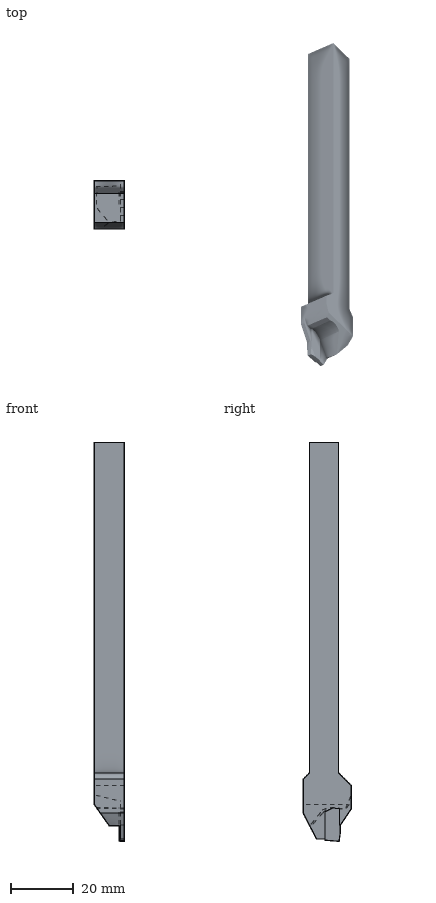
import cadquery as cq

LENGTH = 127.0
WIDTH = 9.7
SHANK_DEPTH = 9.3

LEFT_X = -WIDTH / 2
RIGHT_X = WIDTH / 2
SHANK_Y = SHANK_DEPTH / 2

SHOULDER_Z = 21.8
FRONT_SHOULDER = 2.0
BACK_SHOULDER = 4.1
FRONT_Y = -SHANK_Y - FRONT_SHOULDER
BACK_Y = SHANK_Y + BACK_SHOULDER
FRONT_FLANK_Z = 9.0
BACK_FLANK_Z = 10.4
NOSE_FRONT_Y = -2.4
NOSE_Z = 0.8

INSERT_THICKNESS = 1.7
INSERT_FRONT_Y = 0.3
INSERT_BACK_Y = 5.2
INSERT_SHOULDER_Z = 5.2
INSERT_SEAT_Y = 5.0
INSERT_TOP_Z = 10.4
INSERT_CROWN_Y = 2.8
INSERT_CROWN_Z = 10.7
INSERT_FRONT_TOP_Z = 9.4
INSERT_HEEL_Z = 0.4
TIP_Y = 4.8
CORNER_Z = 2.9

FACET_HEIGHT = 2.9
FACET_LENGTH = 2.3
FACET_DEPTH = 0.5

BEVEL_TOP_Z = 11.8
BEVEL_RUN = 3.8
BEVEL_RISE = 5.4

TONGUE_THICKNESS = 1.3
TONGUE_X = RIGHT_X - TONGUE_THICKNESS
RELIEF_FRONT_Z = 5.0
OVERCUT = 2.5

OUTER_SECTION = (14.9, (6.9, 10.5), (2.8, 10.8), (-0.5, 10.2), -5.3)
FLOOR_SECTION = (12.8, (7.0, 10.4), (INSERT_CROWN_Y, INSERT_CROWN_Z), (-0.1, 9.4), -4.1)


def extrude_outline(outline, start_x, end_x):
    """Extrude a closed Y-Z outline from start_x to end_x."""
    return outline.extrude(end_x - start_x).translate((start_x, 0, 0))


def holder_blank():
    outline = (
        cq.Workplane("YZ")
        .polyline([
            (-SHANK_Y, LENGTH),
            (-SHANK_Y, SHOULDER_Z),
            (FRONT_Y, SHOULDER_Z - FRONT_SHOULDER),
            (FRONT_Y, FRONT_FLANK_Z),
            (NOSE_FRONT_Y, NOSE_Z),
            (INSERT_FRONT_Y, NOSE_Z),
            (INSERT_FRONT_Y, INSERT_SHOULDER_Z),
            (INSERT_BACK_Y, INSERT_SHOULDER_Z),
            (BACK_Y, BACK_FLANK_Z),
            (BACK_Y, SHOULDER_Z - BACK_SHOULDER),
            (SHANK_Y, SHOULDER_Z),
            (SHANK_Y, LENGTH),
        ])
        .close()
    )
    return extrude_outline(outline, LEFT_X, RIGHT_X)


def underside_bevel():
    """Wedge below the sloping underside, running through the head along Y."""
    slope = BEVEL_RISE / BEVEL_RUN
    return (
        cq.Workplane("XZ")
        .polyline([
            (LEFT_X, BEVEL_TOP_Z),
            (RIGHT_X, BEVEL_TOP_Z - slope * WIDTH),
            (LEFT_X, BEVEL_TOP_Z - slope * WIDTH),
        ])
        .close()
        .extrude(BACK_Y - FRONT_Y)
        .translate((0, BACK_Y, 0))
    )


def relief_outline(x, back_z, corner, crown, arc_end, front_end_y):
    """Closed relief section at x: back slope, rounded crown, front slope, flat exit, open below."""
    arc_start = (INSERT_SEAT_Y, corner[1])
    return (
        cq.Workplane("YZ", origin=(x, 0, 0))
        .moveTo(BACK_Y, back_z)
        .lineTo(*corner)
        .lineTo(*arc_start)
        .threePointArc(crown, arc_end)
        .lineTo(front_end_y, RELIEF_FRONT_Z)
        .lineTo(FRONT_Y, RELIEF_FRONT_Z)
        .lineTo(FRONT_Y, -OVERCUT)
        .lineTo(BACK_Y, -OVERCUT)
        .close()
        .wires()
        .val()
    )


def tongue_relief():
    outer = relief_outline(LEFT_X, *OUTER_SECTION)
    floor = relief_outline(TONGUE_X, *FLOOR_SECTION)
    return cq.Workplane(cq.Solid.makeLoft([outer, floor], True))


def insert_blank():
    outline = (
        cq.Workplane("YZ")
        .polyline([
            (INSERT_FRONT_Y, INSERT_HEEL_Z),
            (TIP_Y, 0),
            (INSERT_BACK_Y, CORNER_Z),
            (INSERT_BACK_Y, INSERT_SHOULDER_Z),
            (INSERT_SEAT_Y, INSERT_SHOULDER_Z),
            (INSERT_SEAT_Y, INSERT_TOP_Z),
            (INSERT_CROWN_Y, INSERT_CROWN_Z),
            (INSERT_FRONT_Y, INSERT_FRONT_TOP_Z),
        ])
        .close()
    )
    return extrude_outline(outline, RIGHT_X - INSERT_THICKNESS, RIGHT_X)


def tip_facet():
    """Corner tetrahedron that bevels the -X side of the tip."""
    face_x = RIGHT_X - INSERT_THICKNESS
    corner = cq.Vector(face_x, INSERT_BACK_Y, 0)
    upper = corner + cq.Vector(0, 0, FACET_HEIGHT)
    lower = corner - cq.Vector(0, FACET_LENGTH, 0)
    inner = corner + cq.Vector(FACET_DEPTH, 0, 0)
    triangles = [
        (corner, upper, lower),
        (corner, lower, inner),
        (corner, inner, upper),
        (upper, inner, lower),
    ]
    faces = [cq.Face.makeFromWires(cq.Wire.makePolygon([*points, points[0]])) for points in triangles]
    return cq.Workplane(cq.Solid.makeSolid(cq.Shell.makeShell(faces)))


def make_holder():
    holder = holder_blank().cut(underside_bevel()).cut(tongue_relief())
    return holder.cut(insert_blank())


def make_insert():
    return insert_blank().cut(tip_facet())


holder = make_holder()
insert = make_insert()
result = cq.Compound.makeCompound([*holder.solids().vals(), *insert.solids().vals()])